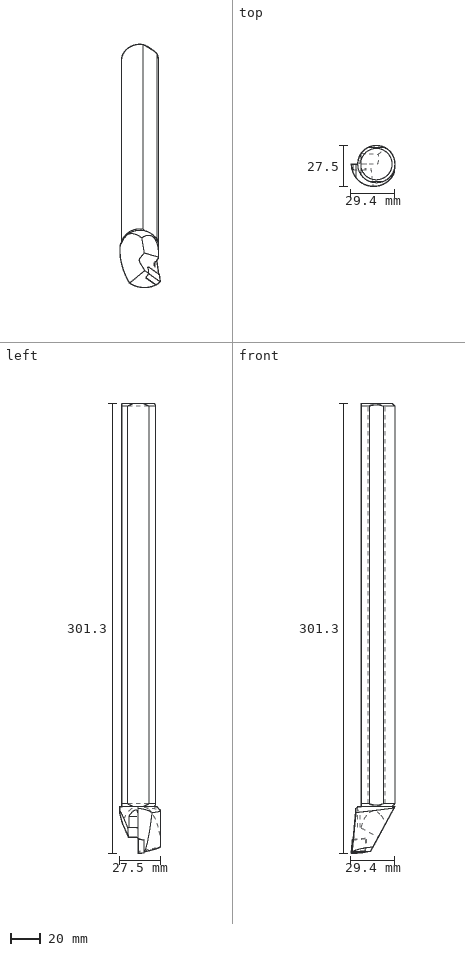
import cadquery as cq
import math


total_length = 301.25
bar_radius = 12.5
bar_end_chamfer = 2.0
left_flat_distance = 10.2
front_flat_distance = 11.6
back_flat_distance = 11.1

tip_reach = 16.89
inscribed_diameter = 9.525
insert_thickness = 3.97
insert_clearance = 7.0
insert_corner = 80.0
nose_radius = 0.8
edge_angle = (90.0 - insert_corner) / 2

head_radius = 14.98
head_offset = 1.8
shoulder_radius = 20.0
head_top = 31.4
side_setback = 0.45
side_clearance = 3.0
bottom_setback = 0.3
bottom_clearance = 11.0
back_relief_angle = 28.5
back_relief_height = 8.6

flank_height = -6.8
flank_rise_x = -0.43
flank_rise_y = 2.79

pocket_wall_x = -10.8
pocket_wall_bottom = 17.5
pocket_wall_top = 25.0
pocket_mouth_lean = 20.0
pocket_fillet = 1.8

block_size = 3 * total_length


def tan_deg(angle):
    return math.tan(math.radians(angle))


def half_space(origin, normal):
    """Large block filling the side of a plane that its normal points to."""
    plane = cq.Plane(origin=origin, normal=normal)
    return cq.Workplane(plane).box(block_size, block_size, block_size, centered=(True, True, False))


def make_bar():
    """Round bar chamfered at both ends, with three flats along its whole length."""
    bar = cq.Workplane("XY").workplane(offset=head_top)
    bar = bar.circle(bar_radius).extrude(total_length - head_top)
    bar = bar.faces("<Z or >Z").chamfer(bar_end_chamfer)
    flats = [
        (left_flat_distance, (-1, 0)),
        (front_flat_distance, (0, -1)),
        (back_flat_distance, (0, 1)),
    ]
    for distance, (x, y) in flats:
        bar = bar.cut(half_space((distance * x, distance * y, 0), (x, y, 0)))
    return bar


def make_head_blank():
    """Offset cylinder under a 45 degree shoulder, stepped to the bar radius behind Y = 0."""
    outline = [
        (0, 0),
        (shoulder_radius, 0),
        (shoulder_radius, head_top - (shoulder_radius - bar_radius)),
        (bar_radius, head_top),
        (0, head_top),
    ]
    turned = cq.Workplane("XZ").polyline(outline).close().revolve(360, (0, 0, 0), (0, 1, 0))
    offset_cylinder = cq.Workplane("XY").center(-head_offset, 0).circle(head_radius).extrude(head_top)
    core = cq.Workplane("XY").circle(bar_radius).extrude(head_top)
    outside_core = half_space((0, 0, 0), (0, 1, 0)).cut(core)
    return turned.intersect(offset_cylinder).cut(outside_core)


def cut_clearances(head):
    """Tilted side and bottom faces along the cutting edges, and the sloped face on the +X side."""
    lean = tan_deg(edge_angle)
    side_normal = (-1, -tan_deg(side_clearance), lean)
    bottom_normal = (lean, -tan_deg(bottom_clearance), -1)
    relief_normal = (1, 0, -tan_deg(back_relief_angle))
    head = head.cut(half_space((side_setback - tip_reach, 0, 0), side_normal))
    head = head.cut(half_space((-tip_reach, 0, bottom_setback), bottom_normal))
    return head.cut(half_space((0, 0, back_relief_height), relief_normal))


def cut_flank(head):
    """Slope that thins the head behind the rake plane toward the nose."""
    below_flank = half_space((0, 0, flank_height), (flank_rise_x, flank_rise_y, -1))
    behind_rake = half_space((0, 0, 0), (0, 1, 0))
    return head.cut(below_flank.intersect(behind_rake))


def cut_chip_pocket(head):
    """Pocket over the insert: sloped lower wall, upright wall and a mouth that leans out at the top."""
    reach = 2 * head_radius
    lower_wall_drop = (reach - pocket_wall_x) * tan_deg(back_relief_angle)
    mouth_x = pocket_wall_x - (head_top - pocket_wall_top) * tan_deg(pocket_mouth_lean)
    outline = [
        (-reach, -reach),
        (reach, -reach),
        (reach, pocket_wall_bottom - lower_wall_drop),
        (pocket_wall_x, pocket_wall_bottom),
        (pocket_wall_x, pocket_wall_top),
        (mouth_x, head_top),
        (-reach, head_top),
    ]
    pocket = cq.Workplane("XZ").polyline(outline).close().extrude(-reach)
    pocket = pocket.faces("<Y").edges().fillet(pocket_fillet)
    return head.cut(pocket)


def make_insert():
    """Rhombic insert with rounded corners and sides that taper inward below the rake face."""
    half_corner = math.radians(insert_corner / 2)
    inscribed_radius = inscribed_diameter / 2
    long_half = inscribed_radius / math.sin(half_corner)
    short_half = inscribed_radius / math.cos(half_corner)
    nose_to_center = (inscribed_radius - nose_radius) / math.sin(half_corner)
    center_offset = nose_radius + nose_to_center * math.cos(math.radians(45))
    corners = [(-long_half, 0), (0, -short_half), (long_half, 0), (0, short_half), (-long_half, 0)]
    rhombus = cq.Sketch().polygon(corners).vertices().fillet(nose_radius)
    rake_plane = cq.Plane(
        origin=(center_offset - tip_reach, 0, center_offset),
        xDir=(1, 0, 1),
        normal=(0, -1, 0),
    )
    blank = cq.Workplane(rake_plane).placeSketch(rhombus)
    return blank.extrude(insert_thickness, taper=insert_clearance)


def make_holder(insert):
    """Bar and head in one piece, with a seat that fits the insert."""
    head = cut_clearances(make_head_blank())
    head = cut_flank(head)
    head = cut_chip_pocket(head)
    return head.union(make_bar()).cut(insert)


insert = make_insert()
holder = make_holder(insert)
result = cq.Compound.makeCompound([holder.val(), insert.val()])